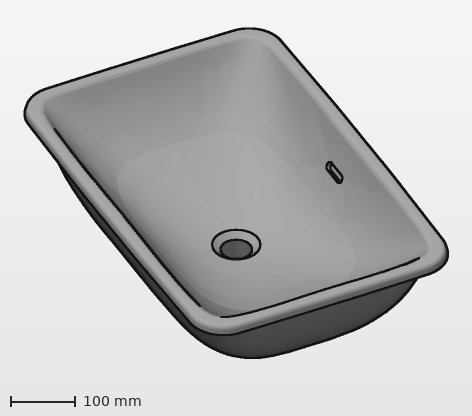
import cadquery as cq
import math

rim_half_x = 337.5
rim_half_y = 224.0
rim_bow_x = 2.0
rim_bow_y = 5.5
rim_corner_radius = 59.0
rim_thickness = 14.0
rim_draft = 14.0
rim_edge_radius = 9.0

basin_depth = 180.0

outer_sections = [
    (rim_thickness, 320.5, 208.0, 9.0),
    (54.5, 312.0, 203.0, 5.7),
    (90.0, 299.0, 191.5, 5.2),
    (133.5, 273.0, 164.0, 4.4),
    (160.0, 246.0, 134.0, 4.1),
    (basin_depth, 214.5, 100.5, 4.0),
]
upper_inner_sections = [
    (0.0, 312.0, 198.5, 12.0),
    (46.5, 274.0, 173.5, 5.4),
    (88.5, 216.5, 139.0, 3.7),
]
lower_inner_sections = [
    upper_inner_sections[-1],
    (118.0, 127.0, 94.5, 2.6),
    (133.5, 39.0, 39.0, 2.0),
]
quadrant_steps = 8
inner_lip_radius = 11.0

drain_diameter = 48.5
seat_diameter = 78.0
seat_top_depth = 132.0
seat_bottom_depth = 143.0

slot_length = 48.5
slot_height = 13.0
slot_depth = 9.0
slot_wall_y = 169.5
slot_drop = 51.0
slot_wall_slope = 33.0


def bowed_outline(depth, half_x, half_y, bow_x, bow_y, corner_radius):
    """Closed rectangle of four outward arcs with rounded corners, at the given depth."""
    corner_x = half_x - bow_x
    corner_y = half_y - bow_y
    wire = (
        cq.Workplane("XY")
        .moveTo(-corner_x, -corner_y)
        .threePointArc((0, -half_y), (corner_x, -corner_y))
        .threePointArc((half_x, 0), (corner_x, corner_y))
        .threePointArc((0, half_y), (-corner_x, corner_y))
        .threePointArc((-half_x, 0), (-corner_x, -corner_y))
        .close()
        .val()
    )
    rounded = wire.fillet2D(corner_radius, wire.Vertices())
    return rounded.moved(cq.Location(cq.Vector(0, 0, -depth)))


def superellipse_outline(depth, half_x, half_y, squareness):
    """Closed superellipse of four quadrant curves meeting at the middles of the sides."""

    def quadrant_point(step, sign_x, sign_y):
        angle = math.pi / 2 * step / quadrant_steps
        fraction_x = max(math.cos(angle), 0) ** (2 / squareness)
        fraction_y = math.sin(angle) ** (2 / squareness)
        if step == quadrant_steps:
            fraction_x = 0
        return cq.Vector(sign_x * half_x * fraction_x, sign_y * half_y * fraction_y, -depth)

    to_left = cq.Vector(-1, 0, 0)
    to_right = cq.Vector(1, 0, 0)
    to_back = cq.Vector(0, 1, 0)
    to_front = cq.Vector(0, -1, 0)
    rising = range(quadrant_steps + 1)
    falling = range(quadrant_steps, -1, -1)
    quadrants = [
        (rising, 1, 1, to_back, to_left),
        (falling, -1, 1, to_left, to_front),
        (rising, -1, -1, to_front, to_right),
        (falling, 1, -1, to_right, to_back),
    ]
    curves = []
    for steps, sign_x, sign_y, start_direction, end_direction in quadrants:
        points = [quadrant_point(step, sign_x, sign_y) for step in steps]
        curves.append(cq.Edge.makeSpline(points, tangents=[start_direction, end_direction]))
    return cq.Wire.assembleEdges(curves)


def bowl(sections):
    """Smooth solid through the given outlines."""
    return cq.Workplane(cq.Solid.makeLoft([superellipse_outline(*section) for section in sections]))


def rim():
    """Drafted frame plate with a rounded upper edge."""
    outline = bowed_outline(
        rim_thickness, rim_half_x, rim_half_y, rim_bow_x, rim_bow_y, rim_corner_radius
    )
    plate = cq.Workplane("XY", origin=(0, 0, -rim_thickness)).add(outline).toPending()
    return plate.extrude(rim_thickness, taper=rim_draft).faces(">Z").edges().fillet(rim_edge_radius)


def drain():
    """Through hole with its conical seat."""
    hole_radius = drain_diameter / 2
    seat_radius = seat_diameter / 2
    cutter_top_depth = 2 * seat_top_depth - seat_bottom_depth
    return (
        cq.Workplane("XZ")
        .moveTo(0, -basin_depth)
        .lineTo(hole_radius, -basin_depth)
        .lineTo(hole_radius, -seat_bottom_depth)
        .lineTo(seat_radius, -seat_top_depth)
        .lineTo(seat_radius, -cutter_top_depth)
        .lineTo(0, -cutter_top_depth)
        .close()
        .revolve(360, (0, 0, 0), (0, 1, 0))
    )


def overflow_slot():
    """Slot sunk at right angles into the back wall, which leans back from the vertical."""
    slope = math.radians(slot_wall_slope)
    wall_normal = cq.Vector(0, -math.cos(slope), math.sin(slope))
    wall_point = cq.Vector(0, slot_wall_y, -slot_drop)
    slot_plane = cq.Plane(wall_point - wall_normal * slot_depth, (1, 0, 0), wall_normal)
    return cq.Workplane(slot_plane).slot2D(slot_length, slot_height).extrude(2 * slot_depth)


basin = rim().union(bowl(outer_sections))
basin = basin.cut(bowl(upper_inner_sections)).cut(bowl(lower_inner_sections))
basin = basin.faces(">Z").wires(cq.selectors.LengthNthSelector(0)).fillet(inner_lip_radius)
result = basin.cut(drain()).cut(overflow_slot())